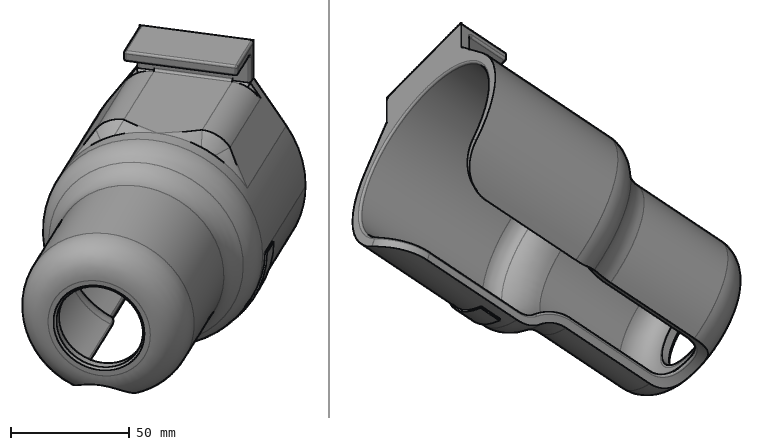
import cadquery as cq
import math

length = 150.0
body_radius = 48.0
nose_radius = 37.5
wall = 5.0
shoulder_start = 66.6
shoulder_curve = 15.0
nose_round = 15.0
cavity_nose_round = 12.5
nose_hole_radius = 38.0 / 2
small_round = 1.0

channel_radius = 20.2
channel_flare = 18.0

flat_half_width = 25.0
flat_corner_round = 15.0
hull_end = 60.0
hull_taper = 8.0
fade_arc_angle = 8.0

bracket_top = 66.0
bracket_depth = 25.0
back_edge = 0.5

panel_height = 0.9
panel_start = 51.9
panel_length = 10.4
panel_angles = (1.0, 58.0)

shoulder_turn = math.acos(1 - (body_radius - nose_radius) / (2 * shoulder_curve))
shoulder_end = shoulder_start + 2 * shoulder_curve * math.sin(shoulder_turn)


def across(offset):
    """Workplane across the axis at a distance from the back; its normal points to the nose."""
    return cq.Workplane("XZ", origin=(0, -offset, 0))


def turned(inset, round_radius):
    """Solid of revolution of the outer surface, moved inwards, with its own nose rounding."""
    large = body_radius - inset
    small = nose_radius - inset
    convex = shoulder_curve - inset
    concave = shoulder_curve + inset
    round_start = length - inset - round_radius

    def convex_point(angle):
        return (large - convex * (1 - math.cos(angle)), -shoulder_start - convex * math.sin(angle))

    def concave_point(angle):
        return (small + concave * (1 - math.cos(angle)), -shoulder_end + concave * math.sin(angle))

    half_turn = shoulder_turn / 2
    quarter = math.sqrt(0.5)
    round_middle = (
        small - round_radius * (1 - quarter),
        -round_start - round_radius * quarter,
    )
    profile = (
        cq.Workplane("XY")
        .lineTo(large, 0)
        .lineTo(large, -shoulder_start)
        .threePointArc(convex_point(half_turn), convex_point(shoulder_turn))
        .threePointArc(concave_point(half_turn), (small, -shoulder_end))
        .lineTo(small, -round_start)
        .threePointArc(round_middle, (small - round_radius, -length + inset))
        .lineTo(0, -length + inset)
        .close()
    )
    return profile.revolve(360, (0, 0, 0), (0, 1, 0))


half_corner = math.atan(flat_half_width / body_radius)
corner_turn = 2 * half_corner
round_reach = flat_corner_round * math.tan(half_corner)


def on_top_flat(distance):
    """Point (x, z) on the right half of the top flat."""
    return (distance, body_radius)


def on_side_flat(distance):
    """Point (x, z) on the right side flat, by distance from its tangent point."""
    return (
        body_radius * math.sin(corner_turn) - distance * math.cos(corner_turn),
        body_radius * math.cos(corner_turn) + distance * math.sin(corner_turn),
    )


def mirrored(point):
    return (-point[0], point[1])


corner = on_top_flat(flat_half_width)
side_tangent = on_side_flat(0)


def sharp_hull():
    """Back plate: the body outline with both corners sharp."""
    outline = across(0).polyline(
        [(0, 0), side_tangent, corner, mirrored(corner), mirrored(side_tangent)]
    )
    return outline.close().extrude(wall)


round_top = on_top_flat(flat_half_width - round_reach)
round_side = on_side_flat(flat_half_width - round_reach)
round_centre = (round_top[0], body_radius - flat_corner_round)
round_middle = (
    round_centre[0] + flat_corner_round * math.sin(half_corner),
    round_centre[1] + flat_corner_round * math.cos(half_corner),
)


def round_hull():
    """Flats with rounded corners, up to where the corners start to fade."""
    outline = (
        across(0)
        .lineTo(*side_tangent)
        .lineTo(*round_side)
        .threePointArc(round_middle, round_top)
        .lineTo(*mirrored(round_top))
        .threePointArc(mirrored(round_middle), mirrored(round_side))
        .lineTo(*mirrored(side_tangent))
        .close()
    )
    return outline.extrude(hull_end - hull_taper)


def corner_step():
    """Short slope from the sharp right corner of the back plate to the rounded corner."""
    def point_on_round(fraction):
        angle = fraction * corner_turn
        return (
            round_centre[0] + flat_corner_round * math.sin(angle),
            round_centre[1] + flat_corner_round * math.cos(angle),
        )

    sharp = across(wall).polyline([(0, 0), round_side, corner, round_top]).close()
    rounded = (
        across(wall + small_round)
        .lineTo(*round_side)
        .threePointArc(point_on_round(0.75), round_middle)
        .threePointArc(point_on_round(0.25), round_top)
        .close()
    )
    return cq.Workplane(cq.Solid.makeLoft([sharp.wire().val(), rounded.wire().val()], True))


def post_foot():
    """Concave rounding where the post rises from the top flat."""
    profile = (
        cq.Workplane("YZ", origin=(0, -wall, body_radius))
        .moveTo(0, small_round)
        .radiusArc((-small_round, 0), small_round)
        .lineTo(-small_round, -small_round)
        .lineTo(small_round, -small_round)
        .lineTo(small_round, small_round)
        .close()
    )
    return profile.extrude(round_top[0], both=True)


fade_start = hull_end - hull_taper
fade_half_angle = math.radians(fade_arc_angle / 2)


def on_body(angle):
    """Point (x, z) of the body circle, by angle from the top towards +X."""
    return (body_radius * math.sin(angle), body_radius * math.cos(angle))


def sector(offset, first, middle, last):
    """Wire around a pie slice from the axis to an arc through three points."""
    outline = across(offset).lineTo(*first).threePointArc(middle, last).close()
    return outline.wire().val()


def fade_wedge(first, second, tip):
    """Triangular end of a flat, filled down to the axis, from two points at the fade start to its tip."""
    triangle = [(first, fade_start), (second, fade_start), (tip, hull_end)]
    corners = [cq.Vector(point[0], -offset, point[1]) for point, offset in triangle]
    axis_point = cq.Vector(0, -fade_start, 0)
    faces = [cq.Face.makeFromWires(cq.Wire.makePolygon(corners, close=True))]
    for index in range(3):
        edge_points = [corners[index], corners[(index + 1) % 3], axis_point]
        faces.append(cq.Face.makeFromWires(cq.Wire.makePolygon(edge_points, close=True)))
    return cq.Solid.makeSolid(cq.Shell.makeShell(faces))


def apex_cone(apex, base):
    """Skew cone from a point where the fade starts to a pie slice at the hull end."""
    apex_vertex = cq.Vertex.makeVertex(apex[0], -fade_start, apex[1])
    return cq.occ_impl.shapes.loft(apex_vertex, base, cap=True, ruled=True)


def corner_fade():
    """End of the right rounded corner, running down to the body surface."""
    slice_start = sector(fade_start, round_side, round_middle, round_top)
    slice_end = sector(
        hull_end,
        on_body(half_corner + fade_half_angle),
        on_body(half_corner),
        on_body(half_corner - fade_half_angle),
    )
    fade = cq.Workplane(cq.Solid.makeLoft([slice_start, slice_end], True))
    whole_slice = sector(hull_end, on_body(corner_turn), on_body(half_corner), on_body(0))
    for apex in (round_top, round_side):
        fade = fade.union(cq.Workplane(apex_cone(apex, whole_slice)))
    top_wedge = fade_wedge(round_top, on_top_flat(0), on_top_flat(0))
    side_wedge = fade_wedge(round_side, side_tangent, side_tangent)
    return fade.union(cq.Workplane(top_wedge)).union(cq.Workplane(side_wedge))


def bracket():
    """Post on the back plate with a shelf reaching towards the nose; the back strip stays sharp-edged."""
    post_bottom = body_radius - wall
    profile = cq.Workplane("YZ").polyline(
        [
            (0, post_bottom),
            (0, bracket_top),
            (-bracket_depth, bracket_top),
            (-bracket_depth, bracket_top - wall),
            (-wall, bracket_top - wall),
            (-wall, post_bottom),
        ]
    )
    block = profile.close().extrude(flat_half_width, both=True)
    back_slab = cq.Workplane("XY").box(2 * body_radius, 2 * back_edge, 2 * bracket_top)
    sharp_edges = block.faces(">Y or <Z").edges().vals()
    rounded_edges = [
        edge for edge in block.edges().vals() if not any(edge.isSame(sharp) for sharp in sharp_edges)
    ]
    rounded = block.newObject(rounded_edges).fillet(small_round)
    return rounded.union(block.intersect(back_slab))


def nose_hole():
    """Cutter for the hole through the nose wall, with its outer edge rounded over."""
    outer_radius = nose_hole_radius + small_round
    profile = (
        cq.Workplane("XY", origin=(0, -length, 0))
        .lineTo(outer_radius, 0)
        .radiusArc((nose_hole_radius, small_round), -small_round)
        .lineTo(nose_hole_radius, 2 * wall)
        .lineTo(0, 2 * wall)
        .close()
    )
    return profile.revolve(360, (0, 0, 0), (0, 1, 0))


def channel():
    """Cutter for the open channel below, widening along a quarter circle at the back."""
    flare_middle = channel_flare * (1 - math.sqrt(0.5))
    profile = (
        cq.Workplane("XY", origin=(0, 0, -body_radius))
        .lineTo(channel_radius + channel_flare, 0)
        .threePointArc(
            (channel_radius + flare_middle, -flare_middle),
            (channel_radius, -channel_flare),
        )
        .lineTo(channel_radius, -length)
        .lineTo(0, -length)
        .close()
    )
    return profile.revolve(360, (0, 0, 0), (0, 1, 0))


def side_panel():
    """Curved panel standing out from the body on the +X side, below the middle."""
    def at(radius, degrees):
        angle = math.radians(degrees)
        return (radius * math.cos(angle), -radius * math.sin(angle))

    first, last = panel_angles
    middle = (first + last) / 2
    inner = body_radius - wall / 2
    outer = body_radius + panel_height
    outline = (
        across(panel_start)
        .moveTo(*at(inner, first))
        .lineTo(*at(outer, first))
        .threePointArc(at(outer, middle), at(outer, last))
        .lineTo(*at(inner, last))
        .threePointArc(at(inner, middle), at(inner, first))
        .close()
    )
    return outline.extrude(panel_length)


def inner_channel_edges():
    """Selector for the straight edges where the channel breaks into the nose cavity."""
    reach = nose_radius - wall
    return cq.selectors.BoxSelector(
        (-channel_radius, -length + wall + cavity_nose_round, -reach),
        (channel_radius, -shoulder_end, 0),
    )


fade = corner_fade()
step = corner_step()

result = turned(0, nose_round).union(round_hull()).union(sharp_hull()).union(bracket())
result = result.union(step).union(step.mirror("YZ")).union(post_foot())
result = result.union(fade).union(fade.mirror("YZ")).union(side_panel())
result = result.cut(turned(wall, cavity_nose_round)).cut(nose_hole()).cut(channel())
result = result.edges(inner_channel_edges()).fillet(small_round)